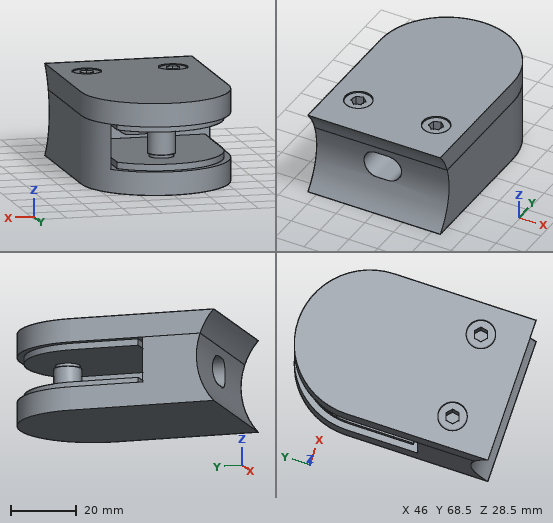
import cadquery as cq
import math

WIDTH = 46.0
LENGTH = 68.5
HEIGHT = 28.5
END_RADIUS = WIDTH / 2
END_CENTRE_Y = LENGTH - END_RADIUS
TUBE_RADIUS = 21.25

SLOT_HEIGHT = 14.0
SLOT_BACK_Y = 22.55
WALL_FRONT_Y = 60.4
SLOT_SIDE_X = math.sqrt(END_RADIUS**2 - (WALL_FRONT_Y - END_CENTRE_Y) ** 2)
MID_Z = HEIGHT / 2
JAW_THICKNESS = (HEIGHT - SLOT_HEIGHT) / 2
COVER_Z = HEIGHT - JAW_THICKNESS

GASKET_THICKNESS = 2.0
GASKET_INSET = 2.05

MOUNT_WIDTH = 13.0
MOUNT_HEIGHT = 9.0

PIN_Y = 53.4
PIN_DIAMETER = 8.55
PIN_BODY_HEIGHT = 8.0
PIN_NECK_DIAMETER = 7.6
PIN_HEIGHT = SLOT_HEIGHT - 2 * GASKET_THICKNESS

SCREW_SPACING = 27.0
SCREW_Y = 14.5
SCREW_DIAMETER = 9.0
SCREW_EDGE_RADIUS = 0.55
SCREW_RECESS = 0.2
SCREW_LENGTH = JAW_THICKNESS - SCREW_RECESS
HEX_ACROSS_FLATS = 4.0
HEX_DEPTH = 4.0
HEX_TURN = 18.0
SCREW_POINTS = [(-SCREW_SPACING / 2, SCREW_Y), (SCREW_SPACING / 2, SCREW_Y)]


def rounded_plate(start_y, inset, bottom_z, thickness):
    """Plate with a straight back edge and a full half-round front end."""
    half_width = END_RADIUS - inset
    return (
        cq.Workplane("XY", origin=(0, 0, bottom_z))
        .moveTo(-half_width, start_y)
        .lineTo(half_width, start_y)
        .lineTo(half_width, END_CENTRE_Y)
        .threePointArc((0, LENGTH - inset), (-half_width, END_CENTRE_Y))
        .close()
        .extrude(thickness)
    )


def clamp_envelope(bottom_z, thickness):
    """Rounded outline with the round post cut out of its back face."""
    seat_centre_y = -math.sqrt(TUBE_RADIUS**2 - MID_Z**2)
    post = (
        cq.Workplane("YZ", origin=(-WIDTH / 2, 0, 0))
        .center(seat_centre_y, MID_Z)
        .circle(TUBE_RADIUS)
        .extrude(WIDTH)
    )
    return rounded_plate(0, 0, bottom_z, thickness).cut(post)


def make_base():
    """Lower jaw, rear block and closed side wall in one piece."""
    glass_slot = (
        cq.Workplane("XY")
        .box(WIDTH / 2 + SLOT_SIDE_X, LENGTH - SLOT_BACK_Y, SLOT_HEIGHT, centered=False)
        .translate((-WIDTH / 2, SLOT_BACK_Y, JAW_THICKNESS))
    )
    mount_slot = (
        cq.Workplane("XZ", origin=(0, 0, MID_Z))
        .slot2D(MOUNT_WIDTH, MOUNT_HEIGHT)
        .extrude(-SLOT_BACK_Y)
    )
    return clamp_envelope(0, COVER_Z).cut(glass_slot).cut(mount_slot)


def make_cover():
    """Upper jaw with a through hole for each screw."""
    screw_holes = (
        cq.Workplane("XY", origin=(0, 0, COVER_Z))
        .pushPoints(SCREW_POINTS)
        .circle(SCREW_DIAMETER / 2)
        .extrude(JAW_THICKNESS)
    )
    return clamp_envelope(COVER_Z, JAW_THICKNESS).cut(screw_holes)


def make_gasket(bottom_z):
    """Flat liner, set in from the edges of the glass slot."""
    liner = rounded_plate(SLOT_BACK_Y + GASKET_INSET, GASKET_INSET, bottom_z, GASKET_THICKNESS)
    side_x = SLOT_SIDE_X - GASKET_INSET
    wall_side = (
        cq.Workplane("XY")
        .box(WIDTH, LENGTH, GASKET_THICKNESS, centered=False)
        .translate((side_x, 0, bottom_z))
    )
    return liner.cut(wall_side)


def make_pin():
    """Round pin with a narrower neck at each end, standing between the gaskets."""
    neck = cq.Workplane("XY").cylinder(PIN_HEIGHT, PIN_NECK_DIAMETER / 2)
    body = cq.Workplane("XY").cylinder(PIN_BODY_HEIGHT, PIN_DIAMETER / 2)
    return body.union(neck).translate((0, PIN_Y, MID_Z))


def make_screw(x, y):
    """Round screw with a rounded top edge and a hexagon socket."""
    body = (
        cq.Workplane("XY")
        .circle(SCREW_DIAMETER / 2)
        .extrude(-SCREW_LENGTH)
        .faces(">Z")
        .edges()
        .fillet(SCREW_EDGE_RADIUS)
    )
    hex_across_corners = HEX_ACROSS_FLATS / math.cos(math.pi / 6)
    socket = (
        cq.Workplane("XY")
        .polygon(6, hex_across_corners)
        .extrude(-HEX_DEPTH)
        .rotate((0, 0, 0), (0, 0, 1), HEX_TURN)
    )
    return body.cut(socket).translate((x, y, HEIGHT - SCREW_RECESS))


base = make_base()
cover = make_cover()
gaskets = [make_gasket(z) for z in (JAW_THICKNESS, COVER_Z - GASKET_THICKNESS)]
pin = make_pin()
screws = [make_screw(x, y) for x, y in SCREW_POINTS]

result = cq.Compound.makeCompound(
    [base.val(), cover.val(), pin.val()]
    + [gasket.val() for gasket in gaskets]
    + [screw.val() for screw in screws]
)